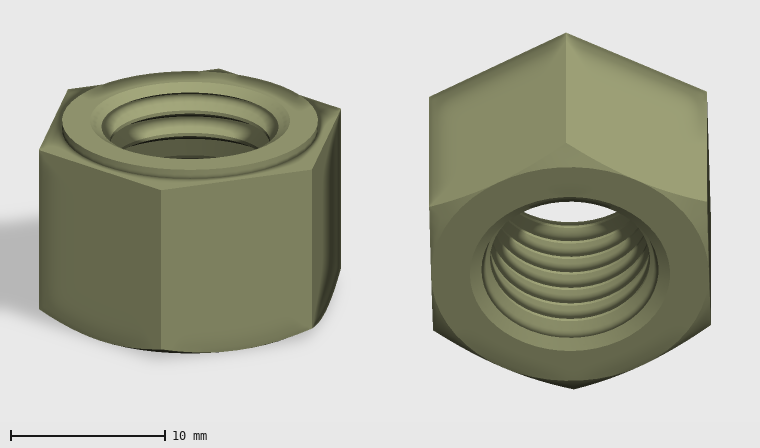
import cadquery as cq
import math

corner_width = 20.78
total_height = 12.6
collar_height = 0.62
collar_diameter = 16.58
corner_chamfer_angle = 30.0

crest_diameter = 10.37
mouth_diameter = 12.97
mouth_slope_angle = 30.0
ridge_count = 7
crest_land = 0.23
flank_angle = 30.0

flat_radius = corner_width / 2 * math.cos(math.pi / 6)
body_height = total_height - collar_height
crest_radius = crest_diameter / 2
pitch = total_height / (ridge_count + 1)
groove_height = pitch - crest_land
groove_depth = groove_height / 2 / math.tan(math.radians(flank_angle))


def revolve_about_z(points):
    """Turn a closed (radius, height) outline around the Z axis."""
    profile = cq.Workplane("XZ").polyline(points).close()
    return profile.revolve(360, (0, 0, 0), (0, 1, 0))


def make_body():
    """Hexagonal prism with its bottom corners cut back by a cone."""
    prism = cq.Workplane("XY").polygon(6, corner_width).extrude(body_height)
    cone_rise = body_height * math.tan(math.radians(90 - corner_chamfer_angle))
    envelope = revolve_about_z([
        (0, 0),
        (flat_radius, 0),
        (flat_radius + cone_rise, body_height),
        (0, body_height),
    ])
    return prism.intersect(envelope)


def make_collar():
    """Round raised face on top of the hexagon."""
    collar = cq.Workplane("XY").workplane(offset=body_height)
    return collar.circle(collar_diameter / 2).extrude(collar_height)


def make_bore():
    """Plain hole through the crests of the ridges."""
    return cq.Workplane("XY").circle(crest_radius).extrude(total_height)


def make_groove(middle):
    """V-shaped ring between two ridges, centred at the given height."""
    return revolve_about_z([
        (0, middle - groove_height / 2),
        (crest_radius, middle - groove_height / 2),
        (crest_radius + groove_depth, middle),
        (crest_radius, middle + groove_height / 2),
        (0, middle + groove_height / 2),
    ])


def make_mouth(face_height, inward):
    """Conical chamfer that narrows from an end face; inward is +1 or -1 along Z."""
    mouth_radius = mouth_diameter / 2
    mouth_rise = (mouth_radius - crest_radius) * math.tan(math.radians(mouth_slope_angle))
    inner_height = face_height + inward * mouth_rise
    return revolve_about_z([
        (0, face_height),
        (mouth_radius, face_height),
        (crest_radius, inner_height),
        (0, inner_height),
    ])


result = make_body().union(make_collar()).cut(make_bore())
for groove in range(ridge_count + 1):
    result = result.cut(make_groove((groove + 0.5) * pitch))
result = result.cut(make_mouth(0, 1))
result = result.cut(make_mouth(total_height, -1))